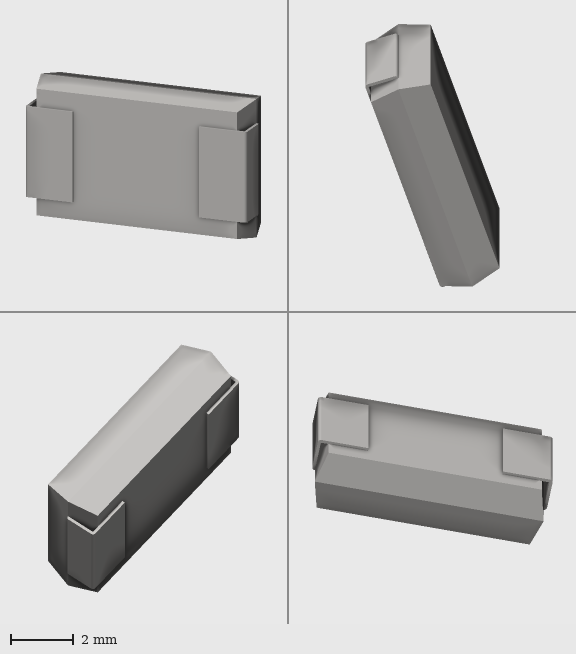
import cadquery as cq

OVERALL_LENGTH = 7.6
OVERALL_DEPTH = 2.1
BODY_HEIGHT = 4.6

TERMINAL_THICKNESS = 0.1
TERMINAL_WIDTH = 3.0
FOOT_LENGTH = 1.63
BEND_RADIUS = TERMINAL_THICKNESS

TIP_OVERLAP = 0.004
BODY_LENGTH = OVERALL_LENGTH - 2 * (TERMINAL_THICKNESS - TIP_OVERLAP)
BODY_DEPTH = OVERALL_DEPTH - TERMINAL_THICKNESS
FACE_LENGTH = 6.9
FACE_HEIGHT = 4.2

BODY_FRONT = -BODY_DEPTH / 2
FOOT_FRONT = BODY_FRONT - TERMINAL_THICKNESS


def tapered_half(face_y):
    """Half of the body, from the parting line to the smaller flat face at face_y."""
    return (
        cq.Workplane("XZ")
        .rect(BODY_LENGTH, BODY_HEIGHT)
        .workplane(offset=-face_y)
        .rect(FACE_LENGTH, FACE_HEIGHT)
        .loft(ruled=True)
    )


def left_terminal():
    """L-shaped strip: foot under the body face, leg rising to the parting line."""
    outer_x = -OVERALL_LENGTH / 2
    inner_x = outer_x + TERMINAL_THICKNESS
    foot_end_x = outer_x + FOOT_LENGTH
    return (
        cq.Workplane("XY")
        .workplane(offset=-TERMINAL_WIDTH / 2)
        .moveTo(foot_end_x, FOOT_FRONT)
        .lineTo(foot_end_x, BODY_FRONT)
        .lineTo(inner_x, BODY_FRONT)
        .lineTo(inner_x, 0)
        .radiusArc((outer_x, -BEND_RADIUS), -BEND_RADIUS)
        .lineTo(outer_x, FOOT_FRONT + BEND_RADIUS)
        .radiusArc((outer_x + BEND_RADIUS, FOOT_FRONT), -BEND_RADIUS)
        .close()
        .extrude(TERMINAL_WIDTH)
    )


body = tapered_half(BODY_FRONT).union(tapered_half(-BODY_FRONT))
terminal = left_terminal()
result = body.union(terminal).union(terminal.mirror("YZ"))